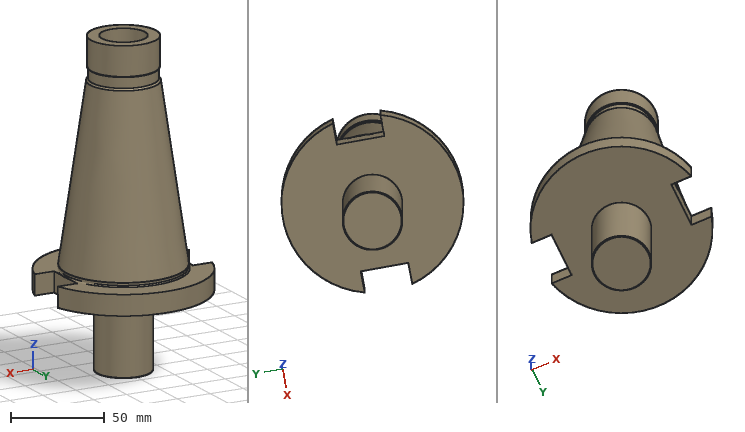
import cadquery as cq
import math


gauge_diameter = 69.85
taper_ratio = 7 / 24
taper_bottom = -0.7

tail_height = 126.8
taper_top = tail_height - 25.0
pilot_diameter = 39.24
neck_diameter = 38.0
pilot_length = 17.2

flange_diameter = 97.3
flange_thickness = 12.0
flange_top = -3.2
flange_bottom = flange_top - flange_thickness
relief_diameter = 69.4
relief_top = -1.0
relief_fillet = 0.8

slot_width = 25.8
slot_floor_offset = 35.2

spigot_diameter = 32.0
spigot_bottom = -60.0
spigot_chamfer = 0.5

counterbore_diameter = 26.0
counterbore_depth = 11.0
seat_angle = math.radians(20)
bore_diameter = 21.0
bore_depth = 60.0
drill_point_angle = math.radians(140)


def taper_radius(z):
    """Radius of the 7:24 cone at height z."""
    return (gauge_diameter - taper_ratio * z) / 2


def revolve_around_z(outline):
    """Close a (radius, z) outline and turn it around the Z axis."""
    return outline.close().revolve(360, (0, 0), (0, 1))


def make_body():
    """Solid of revolution: spigot, flange, undercut, taper, neck and pilot."""
    pilot_radius = pilot_diameter / 2
    neck_radius = neck_diameter / 2
    flange_radius = flange_diameter / 2
    relief_radius = relief_diameter / 2
    spigot_radius = spigot_diameter / 2
    pilot_bottom = tail_height - pilot_length
    neck_top = pilot_bottom - (pilot_radius - neck_radius)
    neck_bottom = taper_top + (taper_radius(taper_top) - neck_radius)
    outline = (
        cq.Workplane("XZ")
        .moveTo(0, spigot_bottom)
        .lineTo(spigot_radius - spigot_chamfer, spigot_bottom)
        .lineTo(spigot_radius, spigot_bottom + spigot_chamfer)
        .lineTo(spigot_radius, flange_bottom)
        .lineTo(flange_radius, flange_bottom)
        .lineTo(flange_radius, flange_top)
        .lineTo(relief_radius + relief_fillet, flange_top)
        .radiusArc((relief_radius, flange_top + relief_fillet), relief_fillet)
        .lineTo(relief_radius, relief_top)
        .lineTo(taper_radius(taper_bottom), taper_bottom)
        .lineTo(taper_radius(taper_top), taper_top)
        .lineTo(neck_radius, neck_bottom)
        .lineTo(neck_radius, neck_top)
        .lineTo(pilot_radius, pilot_bottom)
        .lineTo(pilot_radius, tail_height)
        .lineTo(0, tail_height)
    )
    return revolve_around_z(outline)


def make_drawbar_hole():
    """Blind stepped hole from the top of the tail."""
    counterbore_radius = counterbore_diameter / 2
    bore_radius = bore_diameter / 2
    seat_top = tail_height - counterbore_depth
    seat_bottom = seat_top - (counterbore_radius - bore_radius) * math.tan(seat_angle)
    bore_bottom = tail_height - bore_depth
    drill_tip = bore_bottom - bore_radius / math.tan(drill_point_angle / 2)
    outline = cq.Workplane("XZ").polyline([
        (0, tail_height),
        (counterbore_radius, tail_height),
        (counterbore_radius, seat_top),
        (bore_radius, seat_bottom),
        (bore_radius, bore_bottom),
        (0, drill_tip),
    ])
    return revolve_around_z(outline)


def make_driving_slot(side):
    """Slot through the flange on the +X (side = 1) or -X (side = -1) edge."""
    slot_depth = flange_diameter / 2 - slot_floor_offset
    center_x = side * (slot_floor_offset + slot_depth / 2)
    return (
        cq.Workplane("XY", origin=(center_x, 0, flange_bottom))
        .rect(slot_depth, slot_width)
        .extrude(flange_thickness)
    )


result = make_body().cut(make_drawbar_hole())
for side in (-1, 1):
    result = result.cut(make_driving_slot(side))